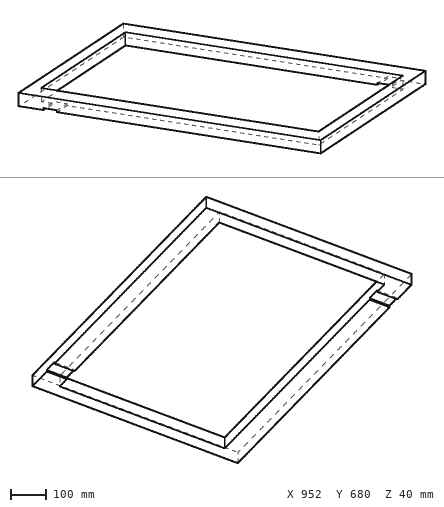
import cadquery as cq

length = 952.0
width = 680.0
height = 40.0

side_rail_width = 39.0
long_rail_width = 67.0

notch_offset = 78.0
notch_length = 42.0
notch_depth = 6.0


def make_frame():
    """Rectangular frame resting on Z = 0, centred in X and Y."""
    opening_length = length - 2 * side_rail_width
    opening_width = width - 2 * long_rail_width
    return (
        cq.Workplane("XY")
        .rect(length, width)
        .rect(opening_length, opening_width)
        .extrude(height)
    )


def make_notch(end):
    """Cutter for one notch: -1 is the front rail at -X, 1 the back rail at +X."""
    center_x = end * (length / 2 - notch_offset - notch_length / 2)
    center_y = end * (width - long_rail_width) / 2
    return (
        cq.Workplane("XY")
        .center(center_x, center_y)
        .rect(notch_length, long_rail_width)
        .extrude(notch_depth)
    )


result = make_frame()
for end in (-1, 1):
    result = result.cut(make_notch(end))